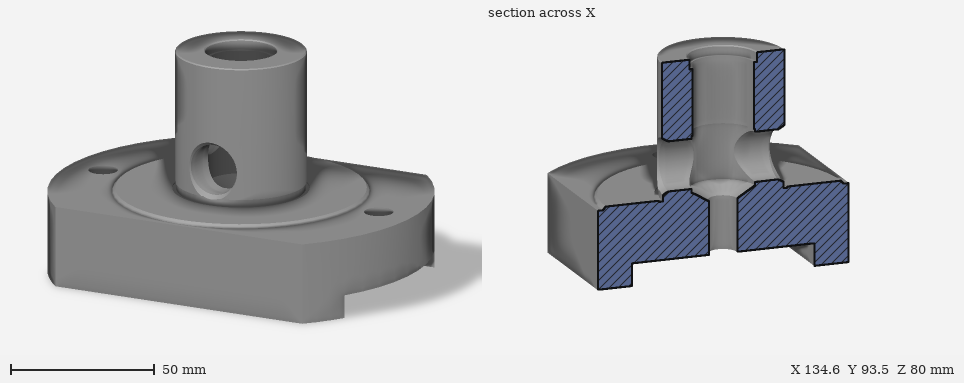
import cadquery as cq
import math

plate_diameter = 134.6
plate_width = 93.5
plate_height = 28.8
channel_width = 67.8
channel_depth = 8.2
bolt_hole_diameter = 10.2
bolt_hole_offset = 54.0

pad_diameter = 89.9
pad_height = 1.2
pad_top = plate_height + pad_height

total_height = 80.0
post_diameter = 45.8
post_radius = post_diameter / 2
post_chamfer = 0.4
neck_diameter = 45.0
neck_height = 2.4
groove_diameter = 47.8
groove_depth = 0.4

mouth_diameter = 25.8
mouth_chamfer = 0.4
mouth_depth = 3.5
bore_diameter = 22.9
chamber_diameter = 23.4
chamber_top = 52.0
cone_top = 31.6
cone_slope = 0.6
drain_diameter = 10.4

cross_hole_z = 42.0
cross_hole_diameter = 18.0
countersink_diameter = 20.9
countersink_angle = 60.0

side_hole_z = 48.0
side_hole_mouth_diameter = 19.8
side_hole_diameter = 15.0
taper_length = 10.5


def cylinder(diameter, bottom, top):
    """Vertical cylinder on the part axis."""
    return cq.Workplane("XY").workplane(offset=bottom).circle(diameter / 2).extrude(top - bottom)


def revolved(profile):
    """Solid turned about the Z axis from (radius, z) points."""
    return cq.Workplane("XZ").polyline(profile).close().revolve(360, (0, 0), (0, 1))


def make_plate():
    disc = cylinder(plate_diameter, 0, plate_height)
    flats = cq.Workplane("XY").box(plate_diameter, plate_width, 2 * plate_height)
    channel = cq.Workplane("XY").box(plate_diameter, channel_width, 2 * channel_depth)
    bolt_holes = (
        cq.Workplane("XY")
        .pushPoints([(-bolt_hole_offset, 0), (bolt_hole_offset, 0)])
        .circle(bolt_hole_diameter / 2)
        .extrude(plate_height)
    )
    return disc.intersect(flats).cut(channel).cut(bolt_holes)


def make_pad():
    pad_radius = pad_diameter / 2
    pad = revolved([
        (0, channel_depth),
        (pad_radius - pad_height, channel_depth),
        (pad_radius - pad_height, plate_height),
        (pad_radius, plate_height),
        (pad_radius - pad_height, pad_top),
        (0, pad_top),
    ])
    return pad.cut(cylinder(groove_diameter, pad_top - groove_depth, pad_top))


def make_post():
    neck_top = pad_top + neck_height
    neck = cylinder(neck_diameter, plate_height, neck_top)
    barrel = cylinder(post_diameter, neck_top, total_height).faces(">Z").chamfer(post_chamfer)
    return neck.union(barrel)


def make_bore():
    mouth_radius = mouth_diameter / 2
    mouth_wall_radius = mouth_radius - mouth_chamfer
    bore_radius = bore_diameter / 2
    chamber_radius = chamber_diameter / 2
    drain_radius = drain_diameter / 2
    mouth_floor = total_height - mouth_depth
    cone_bottom = cone_top - (chamber_radius - drain_radius) * cone_slope
    return revolved([
        (0, 0),
        (drain_radius, 0),
        (drain_radius, cone_bottom),
        (chamber_radius, cone_top),
        (chamber_radius, chamber_top),
        (bore_radius, chamber_top),
        (bore_radius, mouth_floor),
        (mouth_wall_radius, mouth_floor),
        (mouth_wall_radius, total_height - mouth_chamfer),
        (mouth_radius, total_height),
        (0, total_height),
    ])


def make_cross_hole():
    hole_radius = cross_hole_diameter / 2
    sink_radius = countersink_diameter / 2
    sink_depth = (sink_radius - hole_radius) / math.tan(math.radians(countersink_angle / 2))
    sink_floor = post_radius - sink_depth
    hole = revolved([
        (0, -post_radius),
        (sink_radius, -post_radius),
        (hole_radius, -sink_floor),
        (hole_radius, sink_floor),
        (sink_radius, post_radius),
        (0, post_radius),
    ])
    return hole.rotate((0, 0, 0), (1, 0, 0), 90).translate((0, 0, cross_hole_z))


def make_side_hole():
    hole = revolved([
        (0, 0),
        (side_hole_diameter / 2, 0),
        (side_hole_diameter / 2, post_radius - taper_length),
        (side_hole_mouth_diameter / 2, post_radius),
        (0, post_radius),
    ])
    return hole.rotate((0, 0, 0), (0, 1, 0), -90).translate((0, 0, side_hole_z))


body = make_plate().union(make_pad()).union(make_post())
result = body.cut(make_bore()).cut(make_cross_hole()).cut(make_side_hole())